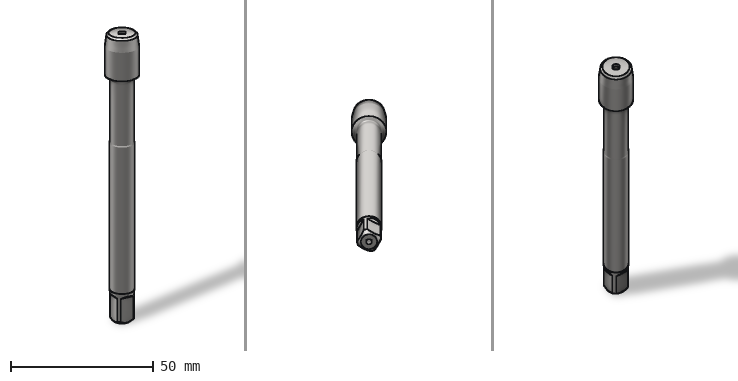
import cadquery as cq
import math

total_length = 110.0

head_diameter = 12.2
head_length = 16.0
shoulder_angle = math.radians(30)
shoulder_fillet_radius = 1.2
tip_diameter = 9.5
tip_chamfer_height = 0.8
lead_start_diameter = 11.1
lead_end_depth = 5.1

shank_diameter = 9.0
neck_diameter = 8.7
neck_end_depth = 41.5
neck_taper_height = 0.5

drive_diameter = 8.64
drive_length = 12.0
drive_end_diameter = 5.7
drive_chamfer_height = 1.25
square_width = 7.0
square_length = 10.0
flat_count = 4

bore_diameter = 2.0
countersink_diameter = 2.8
countersink_angle = 60.0


def turned_body():
    """Revolve the half profile of the tap, from the drive end to the tip."""
    lead_end_z = total_length - lead_end_depth
    head_bottom_z = total_length - head_length
    neck_bottom_z = total_length - neck_end_depth
    head_radius = head_diameter / 2
    neck_radius = neck_diameter / 2
    fillet_width = shoulder_fillet_radius * (1 - math.sin(shoulder_angle))
    fillet_height = shoulder_fillet_radius * math.cos(shoulder_angle)
    fillet_top_radius = neck_radius + fillet_width
    fillet_top_z = head_bottom_z - (head_radius - fillet_top_radius) * math.tan(shoulder_angle)
    shank_radius = shank_diameter / 2
    drive_radius = drive_diameter / 2
    return (
        cq.Workplane("XZ")
        .lineTo(drive_end_diameter / 2, 0)
        .lineTo(drive_radius, drive_chamfer_height)
        .lineTo(drive_radius, drive_length)
        .lineTo(shank_radius, drive_length)
        .lineTo(shank_radius, neck_bottom_z - neck_taper_height)
        .lineTo(neck_radius, neck_bottom_z)
        .lineTo(neck_radius, fillet_top_z - fillet_height)
        .radiusArc((fillet_top_radius, fillet_top_z), shoulder_fillet_radius)
        .lineTo(head_radius, head_bottom_z)
        .lineTo(head_radius, lead_end_z)
        .lineTo(lead_start_diameter / 2, total_length - tip_chamfer_height)
        .lineTo(tip_diameter / 2, total_length)
        .lineTo(0, total_length)
        .close()
        .revolve(360, (0, 0), (0, 1))
    )


def flat_cutter():
    """Wedge that mills one flat on the -Y side, running out upward at 45 degrees."""
    flat_y = square_width / 2
    outer_y = shank_diameter
    runout_z = square_length + outer_y - flat_y
    section = [
        (-flat_y, 0),
        (-flat_y, square_length),
        (-outer_y, runout_z),
        (-outer_y, 0),
    ]
    return cq.Workplane("YZ").polyline(section).close().extrude(shank_diameter, both=True)


def cut_square(body):
    """Cut the four flats of the square drive."""
    for side in range(flat_count):
        turn = side * 360 / flat_count
        body = body.cut(flat_cutter().rotate((0, 0, 0), (0, 0, 1), turn))
    return body


def cut_bore(body):
    """Drill the bore through the full length, countersunk at the tip."""
    tip_face = body.faces(">Z").workplane(origin=(0, 0, total_length))
    return tip_face.cskHole(bore_diameter, countersink_diameter, countersink_angle)


result = cut_bore(cut_square(turned_body()))